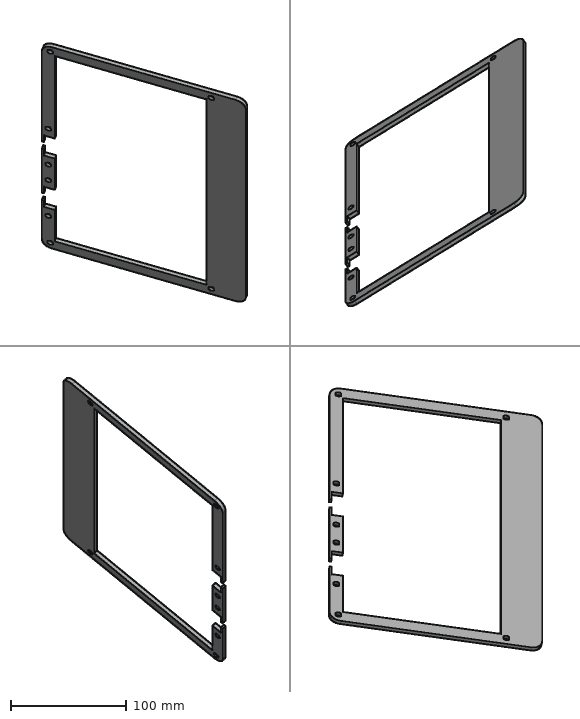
import cadquery as cq

WIDTH = 188.0
HEIGHT = 300.0
THICKNESS = 4.0
CORNER_RADIUS = 10.0

BORDER = 12.0
WIDE_BORDER = 36.3

OPENING_MIDDLE_Z = -38.0
OPENING_SPACING = 76.5
NOTCH_LENGTH = 29.7
LIP_GAP = 10.5
LIP_WIDTH = 2.0

HOLE_DIAMETER = 5.5
CORNER_HOLE_INSET = 7.8
CORNER_HOLE_SPACING = 148.5
SIDE_HOLE_INSET = BORDER / 2
SIDE_HOLE_OFFSET = 26.7

LEFT = -WIDTH / 2
RIGHT = WIDTH / 2
TOP = HEIGHT / 2
OPENING_CENTERS = [OPENING_MIDDLE_Z + side * OPENING_SPACING / 2 for side in (1, -1)]
UPPER_OPENING, LOWER_OPENING = OPENING_CENTERS


def plate(x_min, x_max, z_min, z_max):
    """Rectangular block through the full thickness, centred on Y."""
    return (
        cq.Workplane("XY")
        .box(x_max - x_min, THICKNESS, z_max - z_min)
        .translate(((x_min + x_max) / 2, 0, (z_min + z_max) / 2))
    )


def drill(body, points):
    """Cut screw holes along Y at the given (x, z) points."""
    holes = (
        cq.Workplane("XZ")
        .pushPoints(points)
        .circle(HOLE_DIAMETER / 2)
        .extrude(THICKNESS, both=True)
    )
    return body.cut(holes)


def side_hole(z):
    """Point of a screw hole on the narrow -X border."""
    return (LEFT + SIDE_HOLE_INSET, z)


def make_frame():
    """Rounded frame whose -X border is interrupted between the outer lips."""
    body = plate(LEFT, RIGHT, -TOP, TOP).edges("|Y").fillet(CORNER_RADIUS)
    window = plate(LEFT + BORDER, RIGHT - WIDE_BORDER, BORDER - TOP, TOP - BORDER)
    notch_span = plate(
        LEFT + LIP_WIDTH,
        LEFT + BORDER,
        LOWER_OPENING - NOTCH_LENGTH / 2,
        UPPER_OPENING + NOTCH_LENGTH / 2,
    )
    lip_span = plate(
        LEFT,
        LEFT + BORDER,
        LOWER_OPENING - LIP_GAP / 2,
        UPPER_OPENING + LIP_GAP / 2,
    )
    body = body.cut(window).cut(notch_span).cut(lip_span)

    first_x = LEFT + CORNER_HOLE_INSET
    hole_z = TOP - CORNER_HOLE_INSET
    corner_holes = [(x, z) for x in (first_x, first_x + CORNER_HOLE_SPACING) for z in (-hole_z, hole_z)]
    side_holes = [
        side_hole(UPPER_OPENING + SIDE_HOLE_OFFSET),
        side_hole(LOWER_OPENING - SIDE_HOLE_OFFSET),
    ]
    return drill(body, corner_holes + side_holes)


def make_bridge():
    """Loose border piece between the two openings, with a lip at each end."""
    strip = plate(
        LEFT,
        LEFT + LIP_WIDTH,
        LOWER_OPENING + LIP_GAP / 2,
        UPPER_OPENING - LIP_GAP / 2,
    )
    pad = plate(
        LEFT,
        LEFT + BORDER,
        LOWER_OPENING + NOTCH_LENGTH / 2,
        UPPER_OPENING - NOTCH_LENGTH / 2,
    )
    holes = [
        side_hole(UPPER_OPENING - SIDE_HOLE_OFFSET),
        side_hole(LOWER_OPENING + SIDE_HOLE_OFFSET),
    ]
    return drill(strip.union(pad), holes)


frame = make_frame()
bridge = make_bridge()
result = cq.Compound.makeCompound([frame.val(), bridge.val()])